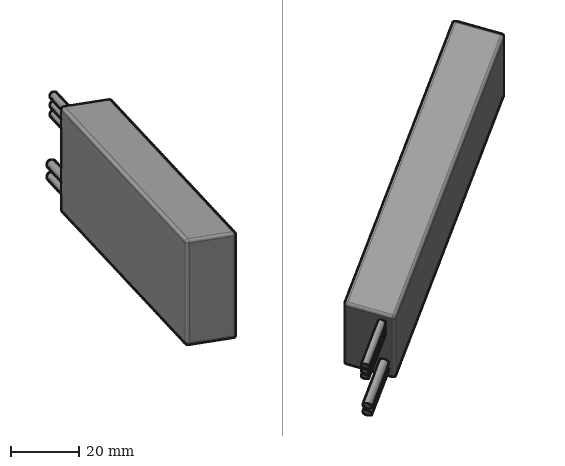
import cadquery as cq

total_length = 119.0
body_width = 16.0
body_height = 34.0
lead_length = 16.0
body_length = total_length - lead_length
edge_radius = 1.0

thin_diameter = 2.5
thin_pitch = 3.0
thin_count = 3
thin_y = -3.9
thin_top_z = 13.0

thick_diameter = 3.0
thick_pitch = 3.9
thick_count = 2
thick_y = -4.6
thick_top_z = -8.9


def make_body():
    """Rectangular case with every edge rounded, its lead end at X = 0."""
    case = cq.Workplane("XY").box(
        body_length, body_width, body_height, centered=(False, True, True)
    )
    return case.edges().fillet(edge_radius)


def make_leads(diameter, pitch, count, y, top_z):
    """Vertical row of round leads running from the case toward -X."""
    centers = [(y, top_z - i * pitch) for i in range(count)]
    return (
        cq.Workplane("YZ")
        .pushPoints(centers)
        .circle(diameter / 2)
        .extrude(-lead_length)
    )


thin_leads = make_leads(thin_diameter, thin_pitch, thin_count, thin_y, thin_top_z)
thick_leads = make_leads(thick_diameter, thick_pitch, thick_count, thick_y, thick_top_z)

result = make_body().union(thin_leads).union(thick_leads)